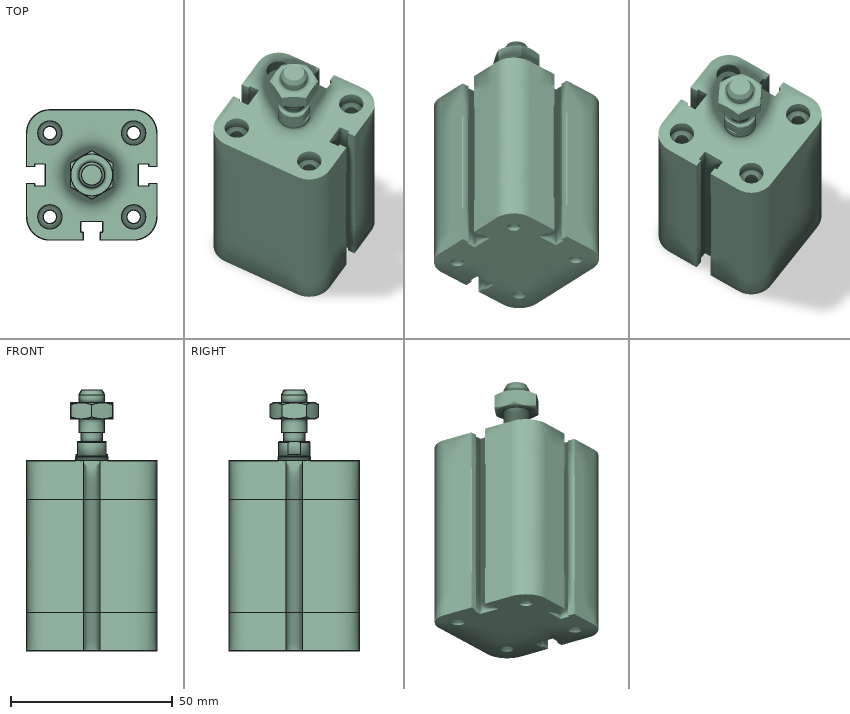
import cadquery as cq
import math

body_width = 40.5
body_half = body_width / 2
corner_radius = 7.3
cap_height = 12.0
barrel_height = 35.1
front_cap_bottom = cap_height + barrel_height
total_height = 81.0

slot_mouth_width = 5.2
slot_channel_width = 6.7
slot_depth = 5.75
cap_lip = 2.4
barrel_lip = 2.6
lip_edge_radius = 0.4
slot_turns = (-90, 0, 90)

hole_spacing = 26.0
hole_diameter = 4.1
counterbore_diameter = 7.5
counterbore_depth = 4.1

rod_diameter = 10.0
collar_diameter = 9.8
flats_width = 9.0
neck_diameter = 6.7
thread_diameter = 8.0
tip_diameter = 6.3
flats_bottom = total_height - 20.0
step_bottom = total_height - 20.7
step_top = total_height - 20.5
shoulder_height = total_height - 15.95
thread_bottom = total_height - 13.3
tip_height = 1.5
shoulder_chamfer = 0.3

nut_sides = 6
nut_width = 13.05
nut_height = 5.0
nut_top = total_height - 4.0
nut_face_diameter = 13.0
nut_chamfer_angle = 30


def slot(height, lip_depth):
    """T-shaped cutter for the -Y slot."""
    mouth = slot_mouth_width / 2
    channel = slot_channel_width / 2
    outer = -body_half
    lip = outer + lip_depth
    floor = outer + slot_depth
    half = [(mouth, outer), (mouth, lip), (channel, lip), (channel, floor)]
    mirrored = [(-x, y) for x, y in reversed(half)]
    return cq.Workplane("XY").polyline(half + mirrored).close().extrude(height)


def body_section(height, lip_depth):
    """Rounded square block with its slots and four through holes, standing on Z = 0."""
    block = cq.Workplane("XY").rect(body_width, body_width).extrude(height)
    block = block.edges("|Z").fillet(corner_radius)
    for turn in slot_turns:
        block = block.cut(slot(height, lip_depth).rotate((0, 0, 0), (0, 0, 1), turn))
    return block.cut(corner_cylinders(hole_diameter, height))


def corner_cylinders(diameter, height):
    """Four cylinders on the screw axes, standing on Z = 0."""
    return (
        cq.Workplane("XY")
        .rect(hole_spacing, hole_spacing, forConstruction=True)
        .vertices()
        .circle(diameter / 2)
        .extrude(height)
    )


def round_lips(block, height):
    """Round the outer and inner edges of both lips of the -Y slot on the barrel."""
    for x in (-slot_mouth_width / 2, slot_mouth_width / 2):
        for y in (-body_half, -body_half + barrel_lip):
            lip_edge = cq.selectors.NearestToPointSelector((x, y, height / 2))
            block = block.edges("|Z").edges(lip_edge).fillet(lip_edge_radius)
    return block


def make_rear_cap():
    """Cap at the foot of the body, with plain through holes."""
    return body_section(cap_height, cap_lip)


def make_barrel():
    """Middle section with rounded slot lips."""
    barrel = body_section(barrel_height, barrel_lip)
    for turn in slot_turns:
        facing = barrel.rotate((0, 0, 0), (0, 0, 1), -turn)
        barrel = round_lips(facing, barrel_height).rotate((0, 0, 0), (0, 0, 1), turn)
    return barrel.translate((0, 0, cap_height))


def make_front_cap():
    """Cap with counterbored screw holes and a bore for the rod."""
    counterbores = corner_cylinders(counterbore_diameter, counterbore_depth)
    counterbores = counterbores.translate((0, 0, cap_height - counterbore_depth))
    rod_bore = cq.Workplane("XY").circle(rod_diameter / 2).extrude(cap_height)
    cap = body_section(cap_height, cap_lip).cut(counterbores).cut(rod_bore)
    return cap.translate((0, 0, front_cap_bottom))


def make_rod():
    """Stepped rod that starts at the barrel face, with two wrench flats facing -X and +X."""
    profile = [
        (0, front_cap_bottom),
        (rod_diameter / 2, front_cap_bottom),
        (rod_diameter / 2, step_bottom),
        (collar_diameter / 2, step_top),
        (collar_diameter / 2, shoulder_height - shoulder_chamfer),
        (collar_diameter / 2 - shoulder_chamfer, shoulder_height),
        (neck_diameter / 2, shoulder_height),
        (neck_diameter / 2, thread_bottom),
        (thread_diameter / 2, thread_bottom),
        (thread_diameter / 2, total_height - tip_height),
        (tip_diameter / 2, total_height),
        (0, total_height),
    ]
    rod = cq.Workplane("XZ").polyline(profile).close().revolve(360, (0, 0), (0, 1))
    flats_height = shoulder_height - flats_bottom
    flats = (
        cq.Workplane("XY")
        .workplane(offset=flats_bottom)
        .rect(2 * rod_diameter, 2 * rod_diameter)
        .rect(flats_width, 2 * rod_diameter)
        .extrude(flats_height)
    )
    return rod.cut(flats)


def make_nut():
    """Hexagon nut with corners on the Y axis and both faces chamfered by a cone."""
    corner_diameter = nut_width / math.cos(math.pi / nut_sides)
    face_radius = nut_face_diameter / 2
    nut_corner_radius = corner_diameter / 2
    corner_drop = (nut_corner_radius - face_radius) * math.tan(math.radians(nut_chamfer_angle))
    hexagon = (
        cq.Workplane("XY")
        .polygon(nut_sides, corner_diameter)
        .extrude(nut_height)
        .rotate((0, 0, 0), (0, 0, 1), 90)
    )
    envelope_profile = [
        (0, 0),
        (face_radius, 0),
        (nut_corner_radius, corner_drop),
        (nut_corner_radius, nut_height - corner_drop),
        (face_radius, nut_height),
        (0, nut_height),
    ]
    envelope = cq.Workplane("XZ").polyline(envelope_profile).close().revolve(360, (0, 0), (0, 1))
    rod_hole = cq.Workplane("XY").circle(thread_diameter / 2).extrude(nut_height)
    nut = hexagon.intersect(envelope).cut(rod_hole)
    return nut.translate((0, 0, nut_top - nut_height))


rear_cap = make_rear_cap()
barrel = make_barrel()
front_cap = make_front_cap()
rod = make_rod()
nut = make_nut()

result = cq.Compound.makeCompound(
    [rear_cap.val(), barrel.val(), front_cap.val(), rod.val(), nut.val()]
)